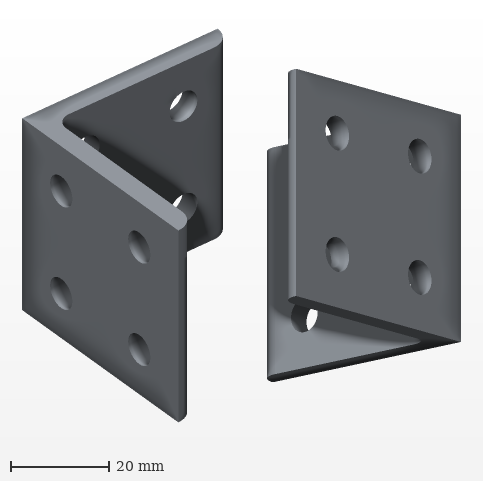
import cadquery as cq

leg_length = 50.8
height = 47.6
thickness = 4.8

toe_radius = thickness
root_radius = 3.55

hole_diameter = 7.2
hole_spacing = 25.4


def make_angle():
    """L-shaped profile in XY with its outer corner at the origin, extruded up Z."""
    toe_start = leg_length - toe_radius
    root_end = thickness + root_radius
    return (
        cq.Workplane("XY")
        .lineTo(leg_length, 0)
        .radiusArc((toe_start, thickness), -toe_radius)
        .lineTo(root_end, thickness)
        .radiusArc((thickness, root_end), root_radius)
        .lineTo(thickness, toe_start)
        .radiusArc((0, leg_length), -toe_radius)
        .close()
        .extrude(height)
    )


def make_hole_pins():
    """Four pins along +Y that cut the holes of the leg lying along X."""
    return (
        cq.Workplane("XZ", origin=(leg_length / 2, 0, height / 2))
        .rarray(hole_spacing, hole_spacing, 2, 2)
        .circle(hole_diameter / 2)
        .extrude(-thickness)
    )


x_leg_pins = make_hole_pins()
y_leg_pins = x_leg_pins.rotate((0, 0, 0), (0, 0, 1), 90).mirror("YZ")

result = make_angle().cut(x_leg_pins).cut(y_leg_pins)